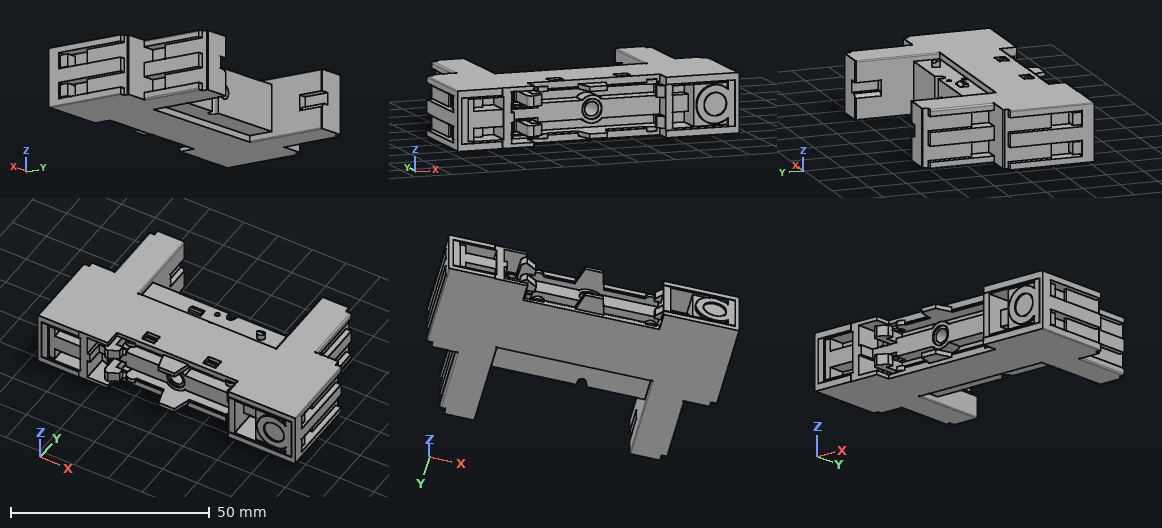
import cadquery as cq
import math

length = 75.6
depth = 42.7
thickness = 15.6
half_length = length / 2
half_thickness = thickness / 2

shoulder_inset = 1.6
shoulder_start = 22.6
shoulder_top = 24.0
tower_outer_x = 29.7
tower_inner_x = 20.1
tower_step_y = 41.1
side_radius = 0.2
tower_radius = 0.45
tower_inner_radius = 0.3
tip_bevel = 0.2
shoulder_bevel_x = 0.15
shoulder_bevel_y = 0.45

ledge_front_y = 20.0
ledge_back_y = 27.0
ledge_half_thickness = 6.1

rail_face_y = 4.6
channel_left_x = -17.2
channel_right_x = 18.15
groove_depth_y = 9.1
groove_inner_z = 2.4
groove_outer_z = 5.45
lip_depth = 0.3
lip_outer_z = 5.9
relief_outer_z = 6.65

barb_back_y = 3.2

frame_x = 36.7
frame_recess = 0.15
clip_left_x = -25.8
window_x = 34.85
window_half_z = 5.45
window_depth = 0.75
web_half_z = 2.2


def box(x0, x1, y0, y1, z0, z1):
    """Box spanning the given ranges along X, Y and Z."""
    return cq.Workplane("XY").box(x1 - x0, y1 - y0, z1 - z0, centered=False).translate((x0, y0, z0))


def prism_z(points, z0, z1):
    """Closed polygon in X and Y, extruded from z0 to z1."""
    return cq.Workplane("XY").workplane(offset=z0).polyline(points).close().extrude(z1 - z0)


def prism_x(points, x0, x1):
    """Closed polygon in Y and Z, extruded from x0 to x1."""
    return cq.Workplane("YZ").workplane(offset=x0).polyline(points).close().extrude(x1 - x0)


def cylinder_y(diameter, x, y0, y1):
    """Cylinder along Y at height Z = 0."""
    disc = cq.Workplane("XZ").center(x, 0).circle(diameter / 2)
    return disc.extrude(y0 - y1).translate((0, y0, 0))


def both_z(shape):
    """The shape together with its mirror image in Z."""
    return shape.union(shape.mirror("XY"))


def both_x(shape):
    """The shape together with its mirror image in X."""
    return shape.union(shape.mirror("YZ"))


def long_rounding(x, radius, y0, y1, inward):
    """Cutter that rounds the two long edges at x; inward is the X direction into the body."""
    arc_inset = radius * (1 - math.sqrt(0.5))
    corner = (
        cq.Workplane("XZ")
        .moveTo(x, half_thickness)
        .lineTo(x + inward * radius, half_thickness)
        .threePointArc(
            (x + inward * arc_inset, half_thickness - arc_inset),
            (x, half_thickness - radius),
        )
        .close()
        .extrude(y0 - y1)
        .translate((0, y0, 0))
    )
    return both_z(corner)


def housing():
    tower_tip_x = tower_outer_x - shoulder_inset
    half = [
        (half_length, 0),
        (half_length, shoulder_start),
        (half_length - shoulder_inset, shoulder_start),
        (half_length - shoulder_inset, shoulder_top - shoulder_bevel_y),
        (half_length - shoulder_inset - shoulder_bevel_x, shoulder_top),
        (tower_outer_x, shoulder_top),
        (tower_outer_x, tower_step_y),
        (tower_tip_x, tower_step_y),
        (tower_tip_x, depth - tip_bevel),
        (tower_tip_x - tip_bevel, depth),
        (tower_inner_x + tip_bevel, depth),
        (tower_inner_x, depth - tip_bevel),
        (tower_inner_x, ledge_front_y),
    ]
    mirrored = [(-x, y) for x, y in reversed(half)]
    body = prism_z(half + mirrored, -half_thickness, half_thickness)
    roundings = long_rounding(half_length, side_radius, 0, shoulder_start, -1)
    roundings = roundings.union(long_rounding(tower_outer_x, tower_radius, shoulder_top, tower_step_y, -1))
    roundings = roundings.union(long_rounding(tower_inner_x, tower_inner_radius, ledge_front_y, depth, 1))
    ledge = box(
        -tower_inner_x, tower_inner_x, ledge_front_y, ledge_back_y,
        -ledge_half_thickness, ledge_half_thickness,
    )
    return body.cut(both_x(roundings)).union(ledge)


slot_inner_z = 1.8
slot_outer_z = 6.0
plate_thickness = 0.6
cavity_depth = 1.5
cavity_reach = 2.3


def terminal_slot(face_x, y0, plate_y, y1):
    """Slot open at y1, with a pocket from y0 that runs on behind the plate starting at plate_y."""
    floor_x = face_x - shoulder_inset
    plate_back_x = floor_x - plate_thickness
    pocket_x = plate_back_x - cavity_depth
    z_range = (slot_inner_z, slot_outer_z)
    slot = box(floor_x, face_x, y0, y1, *z_range)
    entry = box(pocket_x, face_x, y0, plate_y, *z_range)
    behind = box(pocket_x, plate_back_x, plate_y, plate_y + cavity_reach, *z_range)
    return slot.union(entry).union(behind)


def terminal_slots():
    slot_y0 = 3.25
    slot_plate_y = 10.95
    tower_plate_y = 29.4
    lower = terminal_slot(half_length, slot_y0, slot_plate_y, shoulder_start)
    upper = terminal_slot(tower_outer_x, shoulder_top, tower_plate_y, tower_step_y)
    post_recess = 0.6
    post_y1 = 5.6
    pocket_x = half_length - shoulder_inset - plate_thickness - cavity_depth
    post = box(pocket_x, half_length - post_recess, slot_y0, post_y1, web_half_z, window_half_z)
    return both_x(both_z(lower.cut(post).union(upper)))


def tower_notches():
    """Bevelled notch through the inner wall of each tower, open at the back."""
    notch_y = 35.7
    notch_depth = 2.4
    floor_z = 1.05
    mouth_z = 2.05
    bevel = 1.0
    x0 = tower_inner_x
    points = [
        (x0, -mouth_z),
        (x0 + bevel, -floor_z),
        (x0 + notch_depth, -floor_z),
        (x0 + notch_depth, mouth_z),
        (x0, mouth_z),
    ]
    notch = cq.Workplane("XZ").polyline(points).close().extrude(notch_y - depth)
    return both_x(notch.translate((0, notch_y, 0)))


def left_frame():
    window_right_x = -25.3
    pocket_left_x = -33.2
    pocket_step_x = -29.0
    shallow_depth = 5.6
    deep_depth = 7.55
    recess = box(-frame_x, clip_left_x, 0, frame_recess, -lip_outer_z, lip_outer_z)
    clip_front = box(clip_left_x, channel_left_x, 0, frame_recess, -half_thickness, half_thickness)
    window = box(-window_x, window_right_x, 0, window_depth, -window_half_z, window_half_z)
    shallow = box(pocket_left_x, pocket_step_x, 0, shallow_depth, web_half_z, window_half_z)
    deep = box(pocket_step_x, window_right_x, 0, deep_depth, web_half_z, window_half_z)
    return recess.union(clip_front).union(window).union(both_z(shallow.union(deep)))


def right_frame():
    window_left_x = 19.95
    block_x = 25.8
    web_y = 4.6
    pocket_depth = 7.55
    disc_x = 31.45
    disc_diameter = 10.0
    dimple_diameter = 6.0
    dimple_depth = 0.4
    recess = box(channel_right_x, frame_x, 0, frame_recess, -lip_outer_z, lip_outer_z)
    window = box(block_x, window_x, 0, window_depth, -window_half_z, window_half_z)
    disc = cylinder_y(disc_diameter, disc_x, frame_recess, window_depth)
    dimple = cylinder_y(dimple_diameter, disc_x, 0, frame_recess + dimple_depth)
    shaft = box(window_left_x, block_x, 0, pocket_depth, -window_half_z, window_half_z)
    web = box(window_left_x, block_x, web_y, pocket_depth, -web_half_z, web_half_z)
    return recess.union(window.cut(disc)).union(dimple).union(shaft.cut(web))


boss_diameter = 7.2
screw_diameter = 3.7
counterbore_diameter = 5.2
counterbore_depth = 0.45


def rail_channel():
    channel = box(
        channel_left_x, channel_right_x, 0, rail_face_y, -half_thickness, half_thickness
    )
    lip = box(channel_left_x, channel_right_x, 0, rail_face_y + lip_depth, groove_outer_z, lip_outer_z)
    groove = box(channel_left_x, channel_right_x, 0, groove_depth_y, groove_inner_z, groove_outer_z)
    boss = cylinder_y(boss_diameter, 0, rail_face_y, groove_depth_y)
    return channel.union(both_z(lip.union(groove)).cut(boss))


def screw_hole():
    hole = cylinder_y(screw_diameter, 0, 0, depth)
    return hole.union(cylinder_y(counterbore_diameter, 0, 0, rail_face_y + counterbore_depth))


def rail_tabs():
    """Tapered tabs that reach forward to the front plane above and below the centre bar."""
    root_half_width = 3.7
    tip_half_width = 2.35
    points = [
        (-root_half_width, rail_face_y),
        (-tip_half_width, 0),
        (tip_half_width, 0),
        (root_half_width, rail_face_y),
    ]
    tab = prism_z(points, groove_outer_z, relief_outer_z)
    root = box(
        -root_half_width, root_half_width, rail_face_y, groove_depth_y, groove_outer_z, relief_outer_z
    )
    return both_z(tab.union(root))


def rail_bumps():
    """Round bumps standing proud of the rail face."""
    bump_diameter = 3.5
    bump_height = 0.6
    centre_y = rail_face_y - bump_height + bump_diameter / 2
    left_x, right_x = -13.2, 15.95
    centres = [(left_x, centre_y), (right_x, centre_y)]
    bumps = cq.Workplane("XY").workplane(offset=groove_outer_z).pushPoints(centres)
    return both_z(bumps.circle(bump_diameter / 2).extrude(relief_outer_z - groove_outer_z))


def rail_stops():
    """Bevelled fixed stops on the right wall of the channel."""
    barb_x = 16.5
    tip_y = 2.35
    bevel_end_y = 0.7
    points = [
        (channel_right_x, barb_back_y),
        (barb_x, barb_back_y),
        (barb_x, tip_y),
        (channel_right_x, bevel_end_y),
    ]
    return both_z(prism_z(points, groove_inner_z, groove_outer_z))


latch_left_x = -23.3
latch_right_x = -14.7
latch_pocket_depth = 6.4
hook_inner_z = 2.4
hook_outer_z = 5.2
bar_end_x = -22.5
pocket_inner_z = 1.3


def latch_pockets():
    """Pockets around the latches: sloped floor at the left, two side slots and a stepped middle."""
    ramp_start_y = 7.55
    slot_extra_depth = 1.5
    slot_left_x = -21.5
    middle_left_x = -20.6
    middle_step_x = -19.7
    slot_width = 0.7
    slot_depth = latch_pocket_depth + slot_extra_depth
    floor = [
        (latch_left_x, 0),
        (latch_left_x, ramp_start_y),
        (middle_left_x, latch_pocket_depth),
        (latch_right_x, latch_pocket_depth),
        (latch_right_x, 0),
    ]
    pocket = prism_z(floor, pocket_inner_z, relief_outer_z)
    for z0 in (hook_inner_z - slot_width, hook_outer_z):
        pocket = pocket.union(box(slot_left_x, latch_right_x, 0, slot_depth, z0, z0 + slot_width))
    middle = box(middle_left_x, latch_right_x, 0, slot_depth, hook_inner_z, hook_outer_z)
    middle = middle.union(
        box(middle_step_x, latch_right_x, 0, groove_depth_y, hook_inner_z, hook_outer_z)
    )
    bar_front = box(bar_end_x, channel_left_x, 0, rail_face_y, -pocket_inner_z, pocket_inner_z)
    return both_z(pocket.union(middle)).union(bar_front)


def latch_hooks():
    stem_left_x = -18.75
    stem_right_x = -16.55
    tip_y = 1.6
    nose_x = -17.3
    nose_middle = (-18.3, 0.5)
    hook = (
        cq.Workplane("XY")
        .workplane(offset=hook_inner_z)
        .moveTo(stem_left_x, groove_depth_y)
        .lineTo(stem_left_x, tip_y)
        .threePointArc(nose_middle, (nose_x, frame_recess))
        .lineTo(latch_right_x, tip_y)
        .lineTo(latch_right_x, barb_back_y)
        .lineTo(stem_right_x, barb_back_y)
        .lineTo(stem_right_x, groove_depth_y)
        .close()
        .extrude(hook_outer_z - hook_inner_z)
    )
    return both_z(hook)


def side_windows():
    """Snap windows in the upper face, each holding a wedge that slopes down to the back."""
    half_width = 1.8
    wedge_half_width = 1.5
    y0, y1 = 6.1, 8.8
    wedge_ridge_y, wedge_back_y = 7.1, 8.25
    window_depth_z = 1.1
    wedge_sink = 0.2
    window_floor_z = half_thickness - window_depth_z
    wedge_top_z = half_thickness - wedge_sink
    profile = [
        (y0, window_floor_z),
        (y0, wedge_top_z),
        (wedge_ridge_y, wedge_top_z),
        (wedge_back_y, window_floor_z),
    ]
    window = box(-half_width, half_width, y0, y1, window_floor_z, half_thickness)
    window = window.cut(prism_x(profile, -wedge_half_width, wedge_half_width))
    window_x_centre = 9.0
    return both_x(window.translate((window_x_centre, 0, 0)))


def ledge_notch():
    """Notch with a round bottom through the back edge of the ledge."""
    left_x, right_x = 2.4, 5.0
    arc_left_y = 26.1
    arc_bottom = (3.5, 24.9)
    arc_right = (4.45, 25.7)
    return (
        cq.Workplane("XY")
        .workplane(offset=-half_thickness)
        .moveTo(left_x, ledge_back_y)
        .lineTo(left_x, arc_left_y)
        .threePointArc(arc_bottom, arc_right)
        .lineTo(right_x, ledge_back_y)
        .close()
        .extrude(thickness)
    )


def ledge_holes():
    hole_diameter = 1.2
    hole_depth = 0.75
    centres = [(0, 20.95), (0, 25.0)]
    holes = cq.Workplane("XY").workplane(offset=ledge_half_thickness)
    return holes.pushPoints(centres).circle(hole_diameter / 2).extrude(-hole_depth)


def ledge_wedge():
    """Low snap wedge on the ledge, sloping down to the back."""
    base_z = ledge_half_thickness
    wedge_height = 0.6
    top_z = base_z + wedge_height
    front_y, back_y = 22.3, 24.5
    ridge_front_y, ridge_back_y = 22.45, 23.3
    left_x, right_x = -6.9, -3.3
    profile = [(front_y, base_z), (ridge_front_y, top_z), (ridge_back_y, top_z), (back_y, base_z)]
    return prism_x(profile, left_x, right_x)


def ledge_pin():
    """Round pin on the ledge whose back half is bevelled."""
    pin_x, pin_y = 13.8, 23.35
    pin_diameter = 2.2
    pin_height = 1.6
    bevel_drop = 0.6
    top_z = ledge_half_thickness + pin_height
    back_y = pin_y + pin_diameter / 2
    pin = cq.Workplane("XY").workplane(offset=ledge_half_thickness).center(pin_x, pin_y)
    pin = pin.circle(pin_diameter / 2).extrude(pin_height)
    bevel = [(pin_y, top_z), (back_y, top_z), (back_y, top_z - bevel_drop)]
    return pin.cut(prism_x(bevel, pin_x - pin_diameter, pin_x + pin_diameter))


result = housing()
cutters = [
    terminal_slots(), tower_notches(), left_frame(), right_frame(), rail_channel(), latch_pockets(),
    side_windows(), ledge_notch(), ledge_holes(),
]
for cutter in cutters:
    result = result.cut(cutter)
additions = [rail_tabs(), rail_bumps(), rail_stops(), latch_hooks(), ledge_wedge(), ledge_pin()]
for addition in additions:
    result = result.union(addition)
result = result.cut(screw_hole())